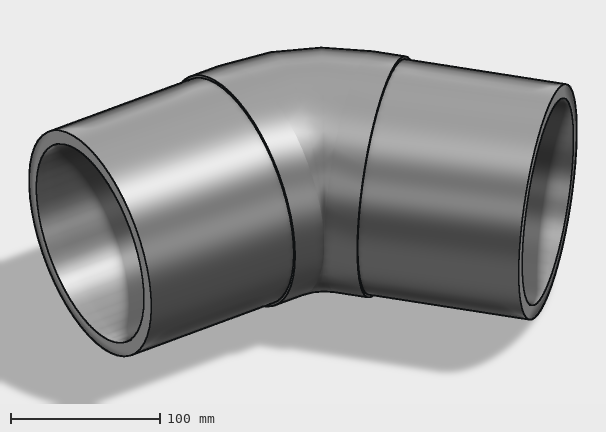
import cadquery as cq
import math

pipe_diameter = 160.0
collar_diameter = 163.8
bore_diameter = 140.8
bend_angle = 45
collar_length = 22.5
pipe_length = 111.2
inside_bend_radius = 0.17

outer_bend_radius = collar_diameter / 2 + inside_bend_radius
bore_bend_radius = bore_diameter / 2 + inside_bend_radius

tangent_ratio = math.tan(math.radians(bend_angle / 2))
bore_bend_offset = (outer_bend_radius - bore_bend_radius) * tangent_ratio
arm_length = collar_length + pipe_length


def straight(diameter, length):
    """Cylinder running from the start of a bend toward -Y."""
    return cq.Workplane("XZ").circle(diameter / 2).extrude(length)


def bend(diameter, radius):
    """Round elbow turning from +Y toward +X about a vertical axis."""
    return cq.Workplane("XZ").circle(diameter / 2).revolve(bend_angle, (radius, 3.5, 0), (radius, 0, 0))


def at_far_end(arm, radius):
    """Mirror an arm and carry it to the other end of a bend."""
    mirrored = arm.mirror("XZ")
    return mirrored.rotate((radius, 0, 0), (radius, 0, 1), -bend_angle)


def elbow(arm, diameter, radius):
    """Bend with the same arm at both ends."""
    return bend(diameter, radius).union(arm).union(at_far_end(arm, radius))


outer_arm = straight(pipe_diameter, arm_length).union(straight(collar_diameter, collar_length))
body = elbow(outer_arm, collar_diameter, outer_bend_radius)

bore_arm = straight(bore_diameter, arm_length + bore_bend_offset)
bore = elbow(bore_arm, bore_diameter, bore_bend_radius).translate((0, bore_bend_offset, 0))

result = body.cut(bore)